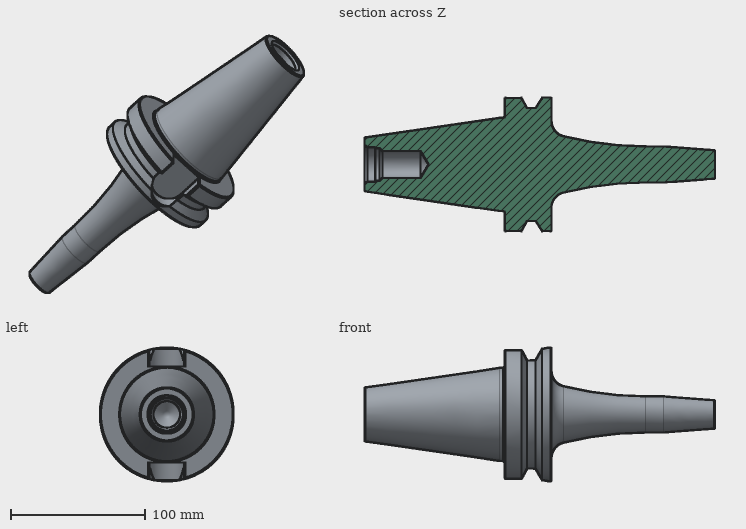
import cadquery as cq
import math

total_length = 261.8

shank_radius = 20.2
shank_chamfer = 0.8
taper_end = 101.0
taper_ratio = 7 / 24 / 2
gauge_radius = shank_radius + taper_end * taper_ratio
flare_start = 103.5
flare_radius = 35.5

flange_start = 104.7
flange_end = 139.8
flange_radius = 50.0
flange_chamfer = 0.8
groove_radius = 42.5
groove_start = 117.3
groove_floor_start = 121.5
groove_floor_end = 127.8
groove_end = 132.7

blend_end = 148.5
blend_radius = 21.2
curve_end = 210.0
nose_taper_start = 223.3
nose_radius = 13.5
tip_radius = 10.7
tip_chamfer = 0.8

slot_half_width = 12.8
slot_edge_chamfer = 1.0
slot_end = 136.7
slot_floor = 35.9

mouth_radius = 14.5
mouth_depth = 2.4
counterbore_radius = 12.8
counterbore_depth = 7.9
thread_radius = 12.0
thread_start = 8.5
thread_end = 11.5
drill_start = 13.5
drill_radius = 10.0
drill_depth = 42.0
drill_point_half_angle = math.radians(59)


def neck_arc_points():
    """Start and middle of the flange blend, and middle of the long neck curve."""
    run = curve_end - blend_end
    drop = blend_radius - nose_radius
    curve_radius = (run**2 + drop**2) / (2 * drop)
    half_run = run / 2
    curve_mid_radius = nose_radius + curve_radius - math.sqrt(curve_radius**2 - half_run**2)
    curve_mid = (curve_end - half_run, curve_mid_radius)

    slope_angle = math.asin(run / curve_radius)
    arc_radius = (blend_end - flange_end) / (1 - math.sin(slope_angle))
    centre_x = flange_end + arc_radius
    centre_r = blend_radius + arc_radius * math.cos(slope_angle)
    mid_angle = (math.pi / 2 - slope_angle) / 2
    blend_mid = (centre_x - arc_radius * math.cos(mid_angle), centre_r - arc_radius * math.sin(mid_angle))
    return (flange_end, centre_r), blend_mid, curve_mid


def make_body():
    blend_start, blend_mid, curve_mid = neck_arc_points()
    profile = (
        cq.Workplane("XY")
        .moveTo(0, 0)
        .lineTo(0, shank_radius - shank_chamfer)
        .lineTo(shank_chamfer, shank_radius + shank_chamfer * taper_ratio)
        .lineTo(taper_end, gauge_radius)
        .lineTo(flare_start, gauge_radius)
        .lineTo(flange_start, flare_radius)
        .lineTo(flange_start, flange_radius - flange_chamfer)
        .lineTo(flange_start + flange_chamfer, flange_radius)
        .lineTo(groove_start, flange_radius)
        .lineTo(groove_floor_start, groove_radius)
        .lineTo(groove_floor_end, groove_radius)
        .lineTo(groove_end, flange_radius)
        .lineTo(flange_end - flange_chamfer, flange_radius)
        .lineTo(flange_end, flange_radius - flange_chamfer)
        .lineTo(*blend_start)
        .threePointArc(blend_mid, (blend_end, blend_radius))
        .threePointArc(curve_mid, (curve_end, nose_radius))
        .lineTo(nose_taper_start, nose_radius)
        .lineTo(total_length - tip_chamfer, tip_radius)
        .lineTo(total_length, tip_radius - tip_chamfer)
        .lineTo(total_length, 0)
        .close()
    )
    return profile.revolve(360, (0, 0, 0), (1, 0, 0))


def make_bore():
    point_length = drill_radius / math.tan(drill_point_half_angle)
    outline = [
        (0, 0),
        (0, mouth_radius),
        (mouth_depth, counterbore_radius),
        (counterbore_depth, counterbore_radius),
        (thread_start, thread_radius),
        (thread_end, thread_radius),
        (drill_start, drill_radius),
        (drill_depth, drill_radius),
        (drill_depth + point_length, 0),
    ]
    return cq.Workplane("XY").polyline(outline).close().revolve(360, (0, 0, 0), (1, 0, 0))


def make_slot():
    """Round-ended cutter path for the slot on the +Z side, with its entry edges chamfered."""
    round_centre = slot_end - slot_half_width
    slot = (
        cq.Workplane("XY", origin=(0, 0, slot_floor))
        .moveTo(taper_end, -slot_half_width)
        .lineTo(round_centre, -slot_half_width)
        .threePointArc((slot_end, 0), (round_centre, slot_half_width))
        .lineTo(taper_end, slot_half_width)
        .close()
        .extrude(flange_radius)
    )

    mouth_half_width = slot_half_width + slot_edge_chamfer
    face_bevel = (
        cq.Workplane("XY", origin=(0, 0, slot_floor))
        .polyline([
            (flange_start, -mouth_half_width),
            (flange_start + slot_edge_chamfer, -slot_half_width),
            (flange_start + slot_edge_chamfer, slot_half_width),
            (flange_start, mouth_half_width),
        ])
        .close()
        .extrude(flange_radius)
    )

    rim_height = math.sqrt(flange_radius**2 - mouth_half_width**2)
    rim_bevel = (
        cq.Workplane("YZ", origin=(flange_start, 0, 0))
        .polyline([
            (-slot_half_width, rim_height - slot_edge_chamfer),
            (slot_half_width, rim_height - slot_edge_chamfer),
            (mouth_half_width, rim_height),
            (mouth_half_width, flange_radius),
            (-mouth_half_width, flange_radius),
            (-mouth_half_width, rim_height),
        ])
        .close()
        .extrude(groove_floor_start - flange_start)
    )

    end_bevel = (
        cq.Workplane("XY", origin=(round_centre, 0, flange_radius - slot_edge_chamfer))
        .circle(slot_half_width)
        .workplane(offset=slot_edge_chamfer)
        .circle(mouth_half_width)
        .loft()
    )
    return slot.union(face_bevel).union(rim_bevel).union(end_bevel)


result = make_body().cut(make_bore())
for turn in (0, 180):
    result = result.cut(make_slot().rotate((0, 0, 0), (1, 0, 0), turn))